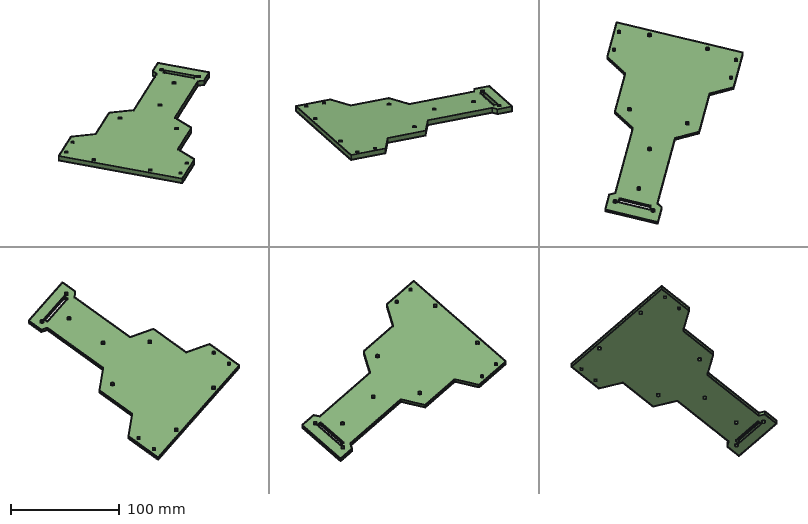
import cadquery as cq
import math

thickness = 5.0
length = 180.0
base_width = 120.0
waist_width = 80.0
neck_width = 40.0
head_width = 50.0

shoulder_angle = 30.0
base_top = 35.0
waist_top = 85.0
head_bottom = 165.0

slot_width = 30.0
slot_height = 4.0
slot_top = 170.0

mount_hole_diameter = 3.0
side_hole_diameter = 2.5
head_hole_spacing = 36.0
head_hole_y = slot_top
neck_hole_ys = (112.5, 152.5)
body_hole_spacing = 55.0
body_hole_pitch = 75.0
body_hole_first_y = 4.5
side_hole_spacing = 111.0
side_hole_pitch = 18.0
side_hole_first_y = 8.5


def shoulder_rise(wide, narrow):
    """Length along Y of the shoulder between two widths."""
    return (wide - narrow) / 2 * math.tan(math.radians(shoulder_angle))


def mirrored_pairs(spacing, ys):
    """Points at both sides of the centre line, one pair per Y."""
    return [(side * spacing / 2, y) for y in ys for side in (-1, 1)]


def make_plate():
    """Stepped plate: base, waist, neck and head."""
    right_side = [
        (base_width / 2, 0),
        (base_width / 2, base_top),
        (waist_width / 2, base_top + shoulder_rise(base_width, waist_width)),
        (waist_width / 2, waist_top),
        (neck_width / 2, waist_top + shoulder_rise(waist_width, neck_width)),
        (neck_width / 2, head_bottom - shoulder_rise(head_width, neck_width)),
        (head_width / 2, head_bottom),
        (head_width / 2, length),
    ]
    left_side = [(-x, y) for x, y in reversed(right_side)]
    return cq.Workplane("XY").polyline(right_side + left_side).close().extrude(thickness)


def make_slot():
    """Rectangular cutter for the slot in the head."""
    slot_center_y = slot_top - slot_height / 2
    return (
        cq.Workplane("XY")
        .center(0, slot_center_y)
        .rect(slot_width, slot_height)
        .extrude(thickness)
    )


def make_holes(points, diameter):
    """Round cutters through the full thickness."""
    return cq.Workplane("XY").pushPoints(points).circle(diameter / 2).extrude(thickness)


head_holes = mirrored_pairs(head_hole_spacing, [head_hole_y])
neck_holes = [(0, y) for y in neck_hole_ys]
body_holes = mirrored_pairs(
    body_hole_spacing, [body_hole_first_y, body_hole_first_y + body_hole_pitch]
)
side_holes = mirrored_pairs(
    side_hole_spacing, [side_hole_first_y, side_hole_first_y + side_hole_pitch]
)

result = (
    make_plate()
    .cut(make_slot())
    .cut(make_holes(head_holes + neck_holes + body_holes, mount_hole_diameter))
    .cut(make_holes(side_holes, side_hole_diameter))
)